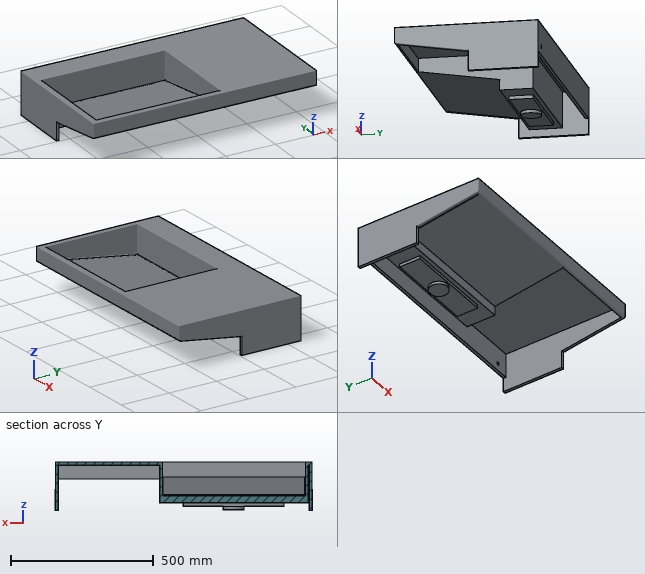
import cadquery as cq
WIDTH = 900.0
DEPTH = 513.0
HEIGHT = 170.0

SHEET = 12.0
EDGE_RADIUS = 2.0
NOSE_RADIUS = 9.0

FRONT_HEIGHT = 58.5
LEG_DEPTH = 249.0
LEG_STEP_HEIGHT = 99.0
UNDERSIDE_SLOPE = (LEG_STEP_HEIGHT - FRONT_HEIGHT) / (DEPTH - LEG_DEPTH)

PANEL_HEIGHT = 112.5
PANEL_HOLE_DIAMETER = 12.0
PANEL_HOLE_X = 840.0
PANEL_HOLE_Z = -82.0

BASIN_LEFT = 24.0
BASIN_RIGHT = 525.0
BASIN_BACK = -102.0
BASIN_FRONT = -488.0
FLOOR_RADIUS = 3.0

FLOOR_BACK_Z = -114.0
FLOOR_SLOPE = 0.16
PLATE_THICKNESS = 4.0
PLATE_BACK_GAP = 1.0

BASIN_WALL = 10.0
BOX_LEFT = BASIN_LEFT - BASIN_WALL
BOX_RIGHT = BASIN_RIGHT + BASIN_WALL
BOX_BACK = BASIN_BACK + BASIN_WALL
BOX_HEIGHT = 143.0
BOX_STEP_Y = -211.0

DRAIN_X = 275.0
DRAIN_Y = (BOX_BACK + BOX_STEP_Y) / 2
PAD_WIDTH = 353.0
PAD_SETBACK = 16.0
PAD_BOTTOM_Z = -156.0
OUTLET_DIAMETER = 74.0
OUTLET_BOTTOM_Z = -167.0

CUT_MARGIN = 9.0


def block(x_range, y_range, z_range):
    """Box that spans the given (low, high) ranges."""
    lows, highs = zip(x_range, y_range, z_range)
    sizes = [high - low for low, high in zip(lows, highs)]
    return cq.Workplane("XY").box(*sizes, centered=False).translate(lows)


def side_prism(outline, left, right):
    """Prism along X from an outline of (Y, Z) points."""
    return cq.Workplane("YZ", origin=(left, 0, 0)).polyline(outline).close().extrude(right - left)


def underside_z(y):
    """Height of the sloped underside at a given Y."""
    return -FRONT_HEIGHT - UNDERSIDE_SLOPE * (y + DEPTH)


def floor_z(y):
    """Height of the basin floor at a given Y."""
    return FLOOR_BACK_Z + FLOOR_SLOPE * (BASIN_BACK - y)


def make_counter():
    """Top, front apron and stepped side legs, open underneath and at the back."""
    outline = [
        (0, 0),
        (-DEPTH, 0),
        (-DEPTH, -FRONT_HEIGHT),
        (-LEG_DEPTH, -LEG_STEP_HEIGHT),
        (-LEG_DEPTH, -HEIGHT),
        (0, -HEIGHT),
    ]
    counter = side_prism(outline, 0, WIDTH)

    nose = cq.selectors.NearestToPointSelector((WIDTH / 2, -DEPTH, -FRONT_HEIGHT))
    counter = counter.edges(nose).fillet(NOSE_RADIUS)

    above_step = cq.selectors.BoxSelector(
        (-CUT_MARGIN, -DEPTH - CUT_MARGIN, -LEG_STEP_HEIGHT),
        (WIDTH + CUT_MARGIN, -LEG_DEPTH, CUT_MARGIN),
    )
    counter = counter.edges(above_step).edges("<X or >X or (>Z and <Y)").fillet(EDGE_RADIUS)

    underneath = block(
        (SHEET, WIDTH - SHEET),
        (SHEET - DEPTH, CUT_MARGIN),
        (-HEIGHT - CUT_MARGIN, -SHEET),
    )
    return counter.cut(underneath)


def make_back_panel():
    """Panel along the back edge with one round hole."""
    panel = block((SHEET, WIDTH - SHEET), (-SHEET, 0), (-PANEL_HEIGHT, -SHEET))
    hole = (
        cq.Workplane("XZ", origin=(PANEL_HOLE_X, CUT_MARGIN, PANEL_HOLE_Z))
        .circle(PANEL_HOLE_DIAMETER / 2)
        .extrude(SHEET + 2 * CUT_MARGIN)
    )
    return panel.cut(hole)


def make_basin_box():
    """Outer block of the basin: sloped below in front, deeper with a flat bottom at the back."""
    front = SHEET - DEPTH
    outline = [
        (BOX_BACK, -SHEET),
        (front, -SHEET),
        (front, underside_z(front)),
        (BOX_STEP_Y, underside_z(BOX_STEP_Y)),
        (BOX_STEP_Y, -BOX_HEIGHT),
        (BOX_BACK, -BOX_HEIGHT),
    ]
    return side_prism(outline, BOX_LEFT, BOX_RIGHT)


def make_drain():
    """Rectangular pad below the basin box with a round outlet."""
    pad_half_depth = (BOX_BACK - BOX_STEP_Y) / 2 - PAD_SETBACK
    pad = block(
        (DRAIN_X - PAD_WIDTH / 2, DRAIN_X + PAD_WIDTH / 2),
        (DRAIN_Y - pad_half_depth, DRAIN_Y + pad_half_depth),
        (PAD_BOTTOM_Z, -BOX_HEIGHT),
    )
    outlet = (
        cq.Workplane("XY", origin=(DRAIN_X, DRAIN_Y, OUTLET_BOTTOM_Z))
        .circle(OUTLET_DIAMETER / 2)
        .extrude(PAD_BOTTOM_Z - OUTLET_BOTTOM_Z)
    )
    return pad.union(outlet)


def make_basin_space():
    """Space inside the basin, with rounded corners and rounded side edges of its sloped floor."""
    outline = [
        (BASIN_BACK, 0),
        (BASIN_FRONT, 0),
        (BASIN_FRONT, floor_z(BASIN_FRONT)),
        (BASIN_BACK, floor_z(BASIN_BACK)),
    ]
    sloped = side_prism(outline, BASIN_LEFT, BASIN_RIGHT)
    floor_sides = "(<X or >X) and (not |Y) and (not |Z)"
    sloped = sloped.edges(floor_sides).fillet(FLOOR_RADIUS)

    upright = block((BASIN_LEFT, BASIN_RIGHT), (BASIN_FRONT, BASIN_BACK), (-BOX_HEIGHT, 0))
    upright = upright.edges("|Z").fillet(EDGE_RADIUS)
    return sloped.intersect(upright)


def make_plate_shape(back):
    """Sloped slab between the rounded side edges of the floor, from the front wall to a given Y."""
    outline = [
        (back, floor_z(back)),
        (BASIN_FRONT, floor_z(BASIN_FRONT)),
        (BASIN_FRONT, floor_z(BASIN_FRONT) - PLATE_THICKNESS),
        (back, floor_z(back) - PLATE_THICKNESS),
    ]
    return side_prism(outline, BASIN_LEFT + FLOOR_RADIUS, BASIN_RIGHT - FLOOR_RADIUS)


def make_floor_plate():
    """Floor plate, which stops just short of the back wall."""
    return make_plate_shape(BASIN_BACK - PLATE_BACK_GAP)


def make_washstand():
    """Counter, back panel, basin and drain as one solid, with a recess for the floor plate."""
    washstand = make_counter().union(make_back_panel()).union(make_basin_box()).union(make_drain())
    washstand = washstand.cut(make_basin_space())

    rim = cq.selectors.BoxSelector(
        (BASIN_LEFT - EDGE_RADIUS, BASIN_FRONT - EDGE_RADIUS, -EDGE_RADIUS),
        (BASIN_RIGHT + EDGE_RADIUS, BASIN_BACK + EDGE_RADIUS, EDGE_RADIUS),
    )
    washstand = washstand.edges(rim).fillet(EDGE_RADIUS)
    plate_recess = make_plate_shape(BASIN_BACK)
    return washstand.cut(plate_recess)


washstand = make_washstand()
floor_plate = make_floor_plate()

result = cq.Compound.makeCompound([*washstand.solids().vals(), floor_plate.val()])